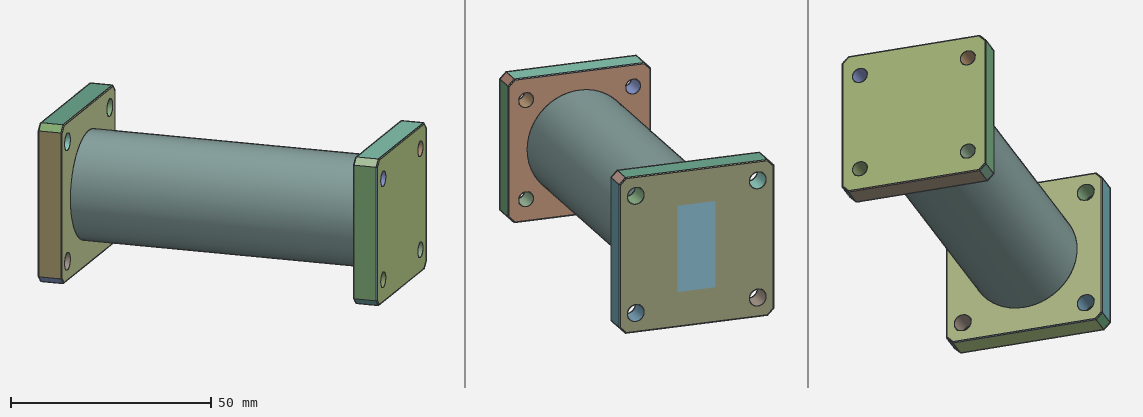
import cadquery as cq

length = 88.9
flange_thickness = 6.3
tube_diameter = 28.0
corner_chamfer = 1.7
rim_chamfer = 0.25

large_side = 41.25
large_holes_y = 32.5
large_holes_z = 31.0
large_hole_diameter = 4.45
window_y = 10.1
window_z = 22.85

small_side = 38.05
small_holes_y = 28.5
small_holes_z = 26.2
small_hole_diameter = 3.9


def flange(side, holes_y, holes_z, hole_diameter):
    """Square plate from X = 0 to its thickness, bevelled around both faces."""
    plate = (
        cq.Workplane("YZ")
        .rect(side, side)
        .extrude(flange_thickness)
        .edges("|X")
        .chamfer(corner_chamfer)
        .faces("<X or >X")
        .chamfer(rim_chamfer)
    )
    holes = (
        cq.Workplane("YZ")
        .rect(holes_y, holes_z, forConstruction=True)
        .vertices()
        .circle(hole_diameter / 2)
        .extrude(flange_thickness)
    )
    return plate.cut(holes)


large_flange = flange(large_side, large_holes_y, large_holes_z, large_hole_diameter)
small_flange = flange(small_side, small_holes_y, small_holes_z, small_hole_diameter)
small_flange = small_flange.translate((length - flange_thickness, 0, 0))

tube = (
    cq.Workplane("YZ", origin=(flange_thickness, 0, 0))
    .circle(tube_diameter / 2)
    .extrude(length - 2 * flange_thickness)
)

window_filling = cq.Workplane("YZ").rect(window_y, window_z).extrude(flange_thickness)

body = large_flange.union(tube).union(small_flange)
result = body.union(window_filling, clean=False)